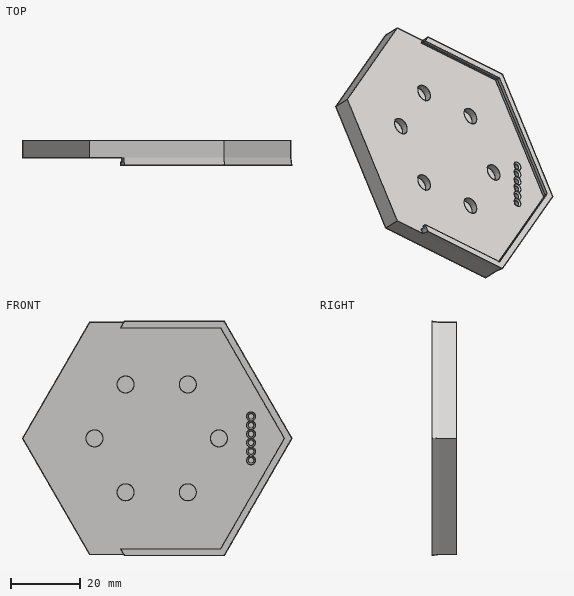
import cadquery as cq
import math

plate_radius = 38.8
plate_thickness = 5.1

rim_height = 2.1
rim_overhang = 0.3
rim_radius = plate_radius + rim_overhang
rim_edge_height = 0.15
neck_height = 1.2
neck_inner_radius = 37.5
lip_inner_radius = 36.95
rim_end_radius = 28.9

pocket_count = 6
pocket_ring_radius = 18.0
pocket_diameter = 4.9
pocket_depth = 2.0

socket_count = 6
socket_x = 27.3
socket_span = 12.7
socket_pitch = socket_span / (socket_count - 1)
socket_mouth_diameter = 2.6
socket_bore_diameter = 1.6
socket_taper_depth = 0.5
socket_depth = 2.0


def hexagon(radius, y):
    """Hexagon outline on the plane at y, facing -Y, with corners on the X axis."""
    plane = cq.Plane(origin=(0, y, 0), xDir=(1, 0, 0), normal=(0, -1, 0))
    return cq.Workplane(plane).polygon(6, 2 * radius)


def make_rim():
    taper_height = rim_height - rim_edge_height
    side_offset = rim_overhang * math.cos(math.pi / 6)
    taper_angle = math.degrees(math.atan(side_offset / taper_height))
    rim = hexagon(plate_radius, 0).extrude(taper_height, taper=-taper_angle)
    rim = rim.union(hexagon(rim_radius, -taper_height).extrude(rim_edge_height))

    rim = rim.cut(hexagon(neck_inner_radius, 0).extrude(neck_height))
    rim = rim.cut(hexagon(lip_inner_radius, 0).extrude(rim_height))

    kept_half_height = rim_radius
    kept_top_x = kept_half_height / math.sqrt(3) - rim_end_radius
    kept_region = (
        cq.Workplane("XZ")
        .moveTo(-rim_end_radius, 0)
        .lineTo(kept_top_x, kept_half_height)
        .lineTo(2 * rim_radius, kept_half_height)
        .lineTo(2 * rim_radius, -kept_half_height)
        .lineTo(kept_top_x, -kept_half_height)
        .close()
        .extrude(rim_height)
    )
    return rim.intersect(kept_region)


def make_pockets():
    return (
        cq.Workplane("XZ")
        .polarArray(pocket_ring_radius, 0, 360, pocket_count)
        .circle(pocket_diameter / 2)
        .extrude(-pocket_depth)
    )


def make_socket(z):
    mouth_centre = cq.Vector(socket_x, 0, z)
    inward = cq.Vector(0, 1, 0)
    bore_radius = socket_bore_diameter / 2
    mouth_radius = socket_mouth_diameter / 2
    bore = cq.Solid.makeCylinder(bore_radius, socket_depth, mouth_centre, inward)
    lead_in = cq.Solid.makeCone(mouth_radius, bore_radius, socket_taper_depth, mouth_centre, inward)
    return cq.Workplane(bore).union(cq.Workplane(lead_in))


plate = hexagon(plate_radius, plate_thickness).extrude(plate_thickness)
result = plate.union(make_rim()).cut(make_pockets())
for index in range(socket_count):
    result = result.cut(make_socket(index * socket_pitch - socket_span / 2))